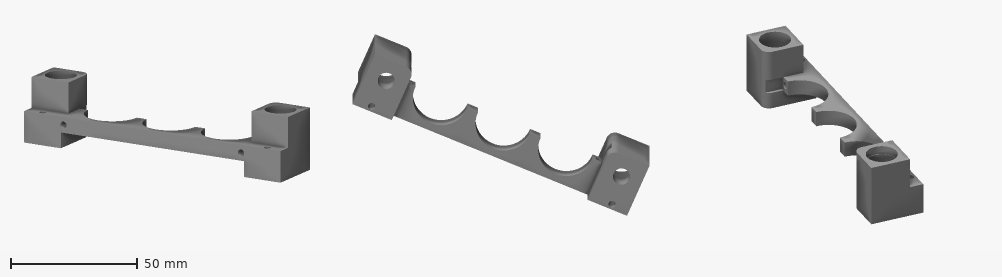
import cadquery as cq

LENGTH = 118.36
DEPTH = 22.67
HEIGHT = 25.64

TOWER_SIDE = 16.93
TOWER_FRONT = DEPTH - TOWER_SIDE
CORNER_RADIUS = 3.5
FOOT_TOP = 12.95

BAR_THICKNESS = 6.45
BAR_BOTTOM = FOOT_TOP - BAR_THICKNESS
BAR_DEPTH = 14.35

SCALLOP_DIAMETER = 22.5
SCALLOP_PITCH = 27.0
SCALLOP_COUNT = 3

RECESS_INSET = 1.2
RECESS_BOTTOM = 7.0

BORE_X = TOWER_SIDE / 2
BORE_Y = TOWER_FRONT + TOWER_SIDE / 2
THROUGH_BORE_DIAMETER = 6.73
LARGE_BORE_DIAMETER = 12.7
LARGE_BORE_DEPTH = 19.05

GROOVE_DIAMETER = 12.97
GROOVE_OFFSET = 0.17
GROOVE_WIDTH = 0.9
GROOVE_BOTTOM = HEIGHT - 3.6

SCREW_DIAMETER = 2.85
FOOT_HOLE_INSET = 7.35
FOOT_HOLE_Y = 2.14
CROSS_HOLE_INSET = 18.2
CROSS_HOLE_Z = BAR_BOTTOM + BAR_THICKNESS / 2


def box(x, y, z, length, depth, height):
    """Box with its lowest corner at (x, y, z)."""
    return cq.Workplane("XY").box(length, depth, height, centered=False).translate((x, y, z))


def vertical_cylinder(x, y, z, diameter, height):
    """Upright cylinder whose base is centred at (x, y, z)."""
    return cq.Workplane("XY", origin=(x, y, z)).circle(diameter / 2).extrude(height)


def mirrored(shape):
    """The shape together with its mirror image about the middle of the length."""
    return shape.union(shape.mirror("YZ", (LENGTH / 2, 0, 0)))


def end_block():
    """Left block: foot and tower, with the inner rear corner rounded."""
    foot = box(0, 0, 0, TOWER_SIDE, DEPTH, FOOT_TOP)
    tower = box(0, TOWER_FRONT, 0, TOWER_SIDE, TOWER_SIDE, HEIGHT)
    return foot.union(tower).edges("|Z and >X and >Y").fillet(CORNER_RADIUS)


def scalloped_bar():
    """Bar with evenly spaced scallops along its rear edge."""
    bar = box(0, 0, BAR_BOTTOM, LENGTH, BAR_DEPTH, BAR_THICKNESS)
    for index in range(SCALLOP_COUNT):
        x = LENGTH / 2 + (index - (SCALLOP_COUNT - 1) / 2) * SCALLOP_PITCH
        bar = bar.cut(vertical_cylinder(x, BORE_Y, BAR_BOTTOM, SCALLOP_DIAMETER, BAR_THICKNESS))
    return bar


def foot_recess():
    """Pocket cut into the inner face of the left foot, from the rear of the bar to the rear face."""
    x = TOWER_SIDE - RECESS_INSET
    return box(x, BAR_DEPTH, RECESS_BOTTOM, RECESS_INSET, DEPTH - BAR_DEPTH, FOOT_TOP - RECESS_BOTTOM)


def stepped_bore():
    """Through bore of the left tower, enlarged from the top, with its ring groove."""
    large_bottom = HEIGHT - LARGE_BORE_DEPTH
    through = vertical_cylinder(BORE_X, BORE_Y, 0, THROUGH_BORE_DIAMETER, HEIGHT)
    large = vertical_cylinder(BORE_X, BORE_Y, large_bottom, LARGE_BORE_DIAMETER, LARGE_BORE_DEPTH)
    groove = vertical_cylinder(
        BORE_X + GROOVE_OFFSET, BORE_Y, GROOVE_BOTTOM, GROOVE_DIAMETER, GROOVE_WIDTH
    )
    return through.union(large).union(groove)


def screw_holes():
    """Upright hole in the left foot and cross hole along the inner face of the left block."""
    upright = vertical_cylinder(FOOT_HOLE_INSET, FOOT_HOLE_Y, 0, SCREW_DIAMETER, FOOT_TOP)
    front = cq.Workplane("XZ", origin=(CROSS_HOLE_INSET, 0, CROSS_HOLE_Z))
    cross = front.circle(SCREW_DIAMETER / 2).extrude(-DEPTH)
    return upright.union(cross)


end_blocks = mirrored(end_block().cut(foot_recess()))
body = scalloped_bar().union(end_blocks)
result = body.cut(mirrored(stepped_bore())).cut(mirrored(screw_holes()))